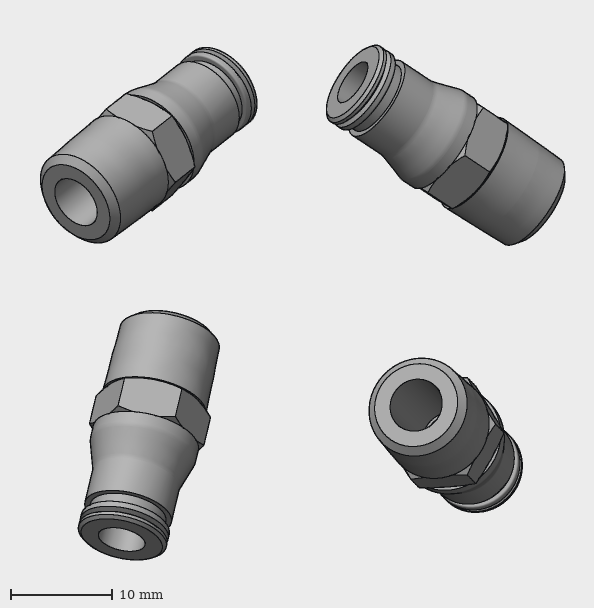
import cadquery as cq
import math

length = 23.6

thread_end_radius = 5.02
thread_mid_radius = 5.15
thread_root_radius = 5.24
thread_lead_radius = 4.25
thread_lead_length = 0.7
thread_mid_y = 4.05

hex_start_y = 8.1
hex_end_y = 12.08
hex_corner_diameter = 11.55
hex_corner_bevel = 0.42

collar_radius = 5.33
collar_end_y = 13.25
shoulder_start_radius = 5.25
shoulder_start_y = 13.7
shoulder_end_radius = 4.45
shoulder_end_y = 16.4
sleeve_radius = 4.39
sleeve_start_y = 16.82
sleeve_end_y = 20.52

neck_radius = 3.82
rim_radius = 4.45
rim_start_y = 21.7
rim_rounding = 0.2
groove_start_y = 22.36
groove_bottom_y = 22.65
groove_end_y = 22.93
groove_bottom_radius = 3.96
end_bevel_radius = 4.1
end_bevel_length = 0.3

wide_bore_radius = 2.67
through_bore_radius = 2.35
wide_bore_depth = hex_end_y


def turned_body():
    """Revolve the half outline (radius, Y) about the Y axis."""
    outline = (
        cq.Workplane("XY")
        .moveTo(0, 0)
        .lineTo(thread_lead_radius, 0)
        .lineTo(thread_end_radius, thread_lead_length)
        .lineTo(thread_mid_radius, thread_mid_y)
        .lineTo(thread_root_radius, hex_start_y)
        .lineTo(thread_root_radius, hex_end_y)
        .lineTo(collar_radius, hex_end_y)
        .lineTo(collar_radius, collar_end_y)
        .tangentArcPoint((shoulder_start_radius, shoulder_start_y), relative=False)
        .lineTo(shoulder_end_radius, shoulder_end_y)
    )
    outline = (
        outline
        .tangentArcPoint((sleeve_radius, sleeve_start_y), relative=False)
        .lineTo(sleeve_radius, sleeve_end_y)
        .lineTo(neck_radius, sleeve_end_y)
        .lineTo(neck_radius, rim_start_y)
        .lineTo(rim_radius - rim_rounding, rim_start_y)
        .tangentArcPoint((rim_radius, rim_start_y + rim_rounding), relative=False)
        .lineTo(rim_radius, groove_start_y)
        .lineTo(groove_bottom_radius, groove_bottom_y)
        .lineTo(rim_radius, groove_end_y)
        .lineTo(rim_radius, length - end_bevel_length)
        .lineTo(end_bevel_radius, length)
        .lineTo(0, length)
        .close()
    )
    return outline.revolve(360, (0, 0, 0), (0, 1, 0))


def hexagon():
    """Hexagon with corners on X, its corners bevelled by cones at both ends."""
    corner_radius = hex_corner_diameter / 2
    flat_radius = corner_radius * math.cos(math.radians(30))
    prism = (
        cq.Workplane("XZ", origin=(0, hex_start_y, 0))
        .polygon(6, hex_corner_diameter)
        .extrude(hex_start_y - hex_end_y)
    )
    bevelled_blank = (
        cq.Workplane("XY")
        .moveTo(0, hex_start_y)
        .lineTo(flat_radius, hex_start_y)
        .lineTo(corner_radius, hex_start_y + hex_corner_bevel)
        .lineTo(corner_radius, hex_end_y - hex_corner_bevel)
        .lineTo(flat_radius, hex_end_y)
        .lineTo(0, hex_end_y)
        .close()
        .revolve(360, (0, 0, 0), (0, 1, 0))
    )
    return prism.intersect(bevelled_blank)


def bore(radius, depth):
    """Round hole cutter running from the threaded end along +Y."""
    return cq.Workplane("XZ").circle(radius).extrude(-depth)


hex_band = bore(collar_radius, hex_end_y).cut(bore(collar_radius, hex_start_y))

result = (
    turned_body()
    .cut(hex_band)
    .union(hexagon())
    .cut(bore(wide_bore_radius, wide_bore_depth))
    .cut(bore(through_bore_radius, length))
)